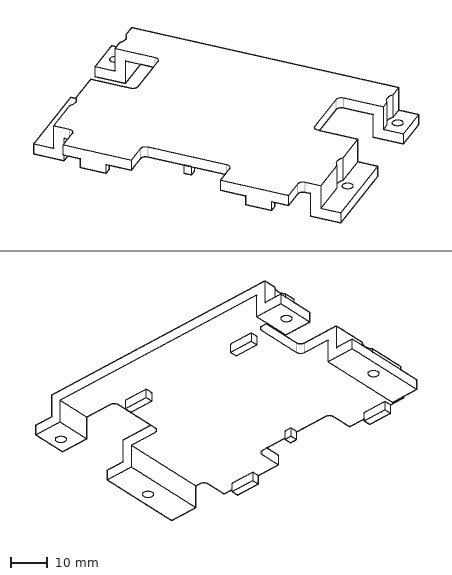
import cadquery as cq

LENGTH = 90.2
DEPTH = 62.2
HEIGHT = 10.5

PLATE_THICKNESS = 3.25
FLANGE_THICKNESS = 3.25
WALL_THICKNESS = 3.1
FLANGE_WIDTH = 5.9
CORNER_RADIUS = 1.5

TAB_LENGTH = 7.9
TAB_WIDTH = 20.0
TAB_CENTER_X = 23.1

NOTCH_FLOOR_X = 26.0
NOTCH_FRONT_Y = 2.6
LEFT_REAR_ARM = 11.6
RIGHT_REAR_ARM = 10.7

HOLE_DIAMETER = 3.0
HOLE_EDGE_DISTANCE = 3.6
HOLE_ROWS_Y = (25.0, -9.8)
RELIEF_RADIUS = 3.1

PAD_HEIGHT = 2.8
PAD_THICKNESS = 2.25
PAD_WIDTH = 7.7
FRONT_PAD_OUTER_X = 28.1
REAR_PAD_INNER_X = 15.5
REAR_PAD_FRONT_Y = 16.9
STUB_SETBACK = 0.3

half_length = LENGTH / 2
rear_y = DEPTH / 2
tab_front_y = -rear_y
body_front_y = tab_front_y + TAB_LENGTH
wall_outer_x = half_length - FLANGE_WIDTH
wall_inner_x = wall_outer_x - WALL_THICKNESS
plate_bottom = HEIGHT - PLATE_THICKNESS
hole_x = half_length - HOLE_EDGE_DISTANCE
hole_points = [(side * hole_x, y) for side in (-1, 1) for y in HOLE_ROWS_Y]


def box(x_range, y_range, z_range):
    """Box spanning the given ranges along the three axes."""
    (x0, x1), (y0, y1), (z0, z1) = x_range, y_range, z_range
    return cq.Workplane("XY").box(x1 - x0, y1 - y0, z1 - z0, centered=False).translate((x0, y0, z0))


def make_bridge():
    """Stepped section of flanges, walls and plate, swept from front to rear."""
    right_half = [
        (wall_outer_x, HEIGHT),
        (wall_outer_x, FLANGE_THICKNESS),
        (half_length, FLANGE_THICKNESS),
        (half_length, 0),
        (wall_inner_x, 0),
        (wall_inner_x, plate_bottom),
    ]
    left_half = [(-x, z) for x, z in reversed(right_half)]
    section = cq.Workplane("XZ", origin=(0, rear_y, 0)).polyline(right_half + left_half).close()
    return section.extrude(rear_y - body_front_y)


def add_tabs(body):
    """Front tabs, with rounded inside corners where they join the plate."""
    for side in (-1, 1):
        center_x = side * TAB_CENTER_X
        tab_x = (center_x - TAB_WIDTH / 2, center_x + TAB_WIDTH / 2)
        body = body.union(box(tab_x, (tab_front_y, body_front_y), (plate_bottom, HEIGHT)))
    margin = CORNER_RADIUS / 2
    selector = cq.selectors.BoxSelector(
        (-TAB_CENTER_X - TAB_WIDTH / 2 - margin, body_front_y - margin, plate_bottom - margin),
        (TAB_CENTER_X + TAB_WIDTH / 2 + margin, body_front_y + margin, HEIGHT + margin),
    )
    return body.edges("|Z").edges(selector).fillet(CORNER_RADIUS)


def cut_notch(body, side, rear_arm):
    """Full-height notch in one side, with rounded inner corners."""
    x_range = sorted((side * NOTCH_FLOOR_X, side * half_length))
    notch = box(x_range, (NOTCH_FRONT_Y, rear_y - rear_arm), (0, HEIGHT))
    inner_edges = "|Z and <X" if side > 0 else "|Z and >X"
    return body.cut(notch.edges(inner_edges).fillet(CORNER_RADIUS))


def cut_mounting_holes(body):
    """Flange holes, each with a round relief cut into the wall above the flange."""
    holes = cq.Workplane("XY").pushPoints(hole_points).circle(HOLE_DIAMETER / 2).extrude(HEIGHT)
    relief_plane = cq.Workplane("XY", origin=(0, 0, FLANGE_THICKNESS))
    reliefs = relief_plane.pushPoints(hole_points).circle(RELIEF_RADIUS).extrude(HEIGHT)
    return body.cut(holes).cut(reliefs)


def add_pad(body, x_start, width, front_y):
    """Rectangular pad hanging below the plate."""
    x_range = (x_start, x_start + width)
    y_range = (front_y, front_y + PAD_THICKNESS)
    return body.union(box(x_range, y_range, (plate_bottom - PAD_HEIGHT, HEIGHT - PLATE_THICKNESS / 2)))


result = add_tabs(make_bridge())
result = cut_notch(result, -1, LEFT_REAR_ARM)
result = cut_notch(result, 1, RIGHT_REAR_ARM)
result = cut_mounting_holes(result)

result = add_pad(result, -FRONT_PAD_OUTER_X, PAD_WIDTH, tab_front_y)
result = add_pad(result, FRONT_PAD_OUTER_X - PAD_WIDTH, PAD_WIDTH, tab_front_y)
result = add_pad(result, -REAR_PAD_INNER_X - PAD_WIDTH, PAD_WIDTH, REAR_PAD_FRONT_Y)
result = add_pad(result, REAR_PAD_INNER_X, PAD_WIDTH, REAR_PAD_FRONT_Y)
result = add_pad(result, -PAD_THICKNESS / 2, PAD_THICKNESS, body_front_y + STUB_SETBACK)